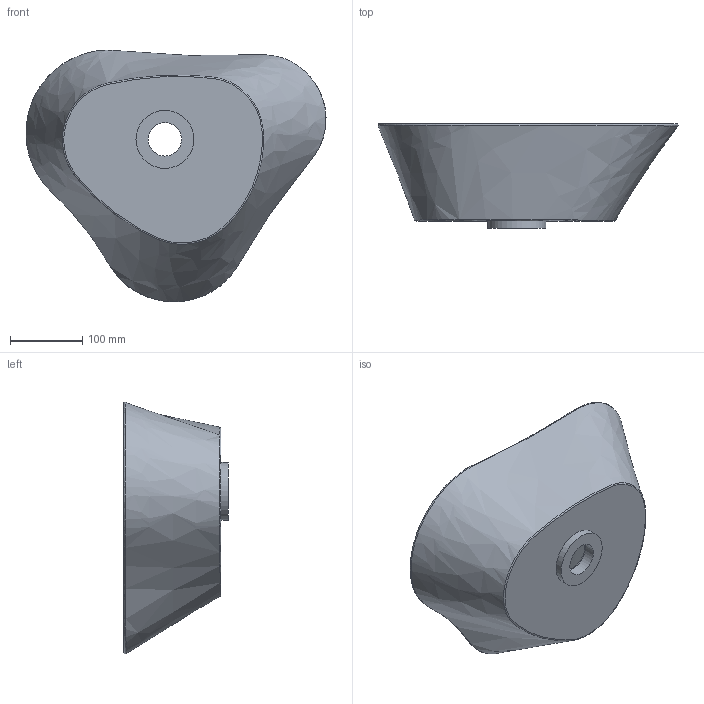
import cadquery as cq
import math


BODY_HEIGHT = 134.0
COLLAR_HEIGHT = 10.0
COLLAR_DIAMETER = 80.0
DRAIN_DIAMETER = 46.0
WALL = 8.0
EDGE_RADIUS = 2.0
SLAB_DIAMETER = 600.0
POINTS_PER_ARC = 6

RIM_LOBES = [(-78.1, 9.3, 114.6), (12.0, -121.6, 104.1), (134.7, 28.3, 89.4)]
FLOOR_LOBES = [(-61.1, -0.6, 79.8), (23.6, -58.1, 86.0), (54.7, 6.0, 80.6)]

RIM_SIDES = [-376.0, -818.0, -1176.0]
FLOOR_SIDES = [305.0, 163.0, 426.0]


def side_center(lobe, next_lobe, side):
    """Centre of the side arc that is tangent to two neighbouring lobes."""
    x, z, radius = lobe
    next_x, next_z, next_radius = next_lobe
    reach = abs(side - radius)
    next_reach = abs(side - next_radius)
    span = math.hypot(next_x - x, next_z - z)
    along = (reach**2 - next_reach**2 + span**2) / (2 * span)
    across = math.copysign(math.sqrt(reach**2 - along**2), side)
    unit_x = (next_x - x) / span
    unit_z = (next_z - z) / span
    return x + unit_x * along - unit_z * across, z + unit_z * along + unit_x * across


def direction_angle(center, lobe, side):
    """Angle of the outward normal where a side arc touches a lobe."""
    outward = math.copysign(1, side)
    return math.atan2(outward * (lobe[1] - center[1]), outward * (lobe[0] - center[0]))


def arc_points(center, radius, start, turn):
    """Evenly spaced (x, z) points of an arc, without its end; a negative radius curves inward."""
    points = []
    for step in range(POINTS_PER_ARC):
        angle = start + turn * step / POINTS_PER_ARC
        points.append((center[0] + radius * math.cos(angle), center[1] + radius * math.sin(angle)))
    return points


def outline(lobes, sides, inset, y):
    """Smooth closed wire along the lobe and side arcs at height y, shrunk inward by inset."""
    lobes = [(x, z, radius - inset) for x, z, radius in lobes]
    sides = [side - inset for side in sides]
    count = len(lobes)
    centers = [side_center(lobes[i], lobes[(i + 1) % count], sides[i]) for i in range(count)]
    points = []
    for i in range(count):
        lobe = lobes[i]
        arrive = direction_angle(centers[i - 1], lobe, sides[i - 1])
        leave = direction_angle(centers[i], lobe, sides[i])
        next_arrive = direction_angle(centers[i], lobes[(i + 1) % count], sides[i])
        lobe_turn = (leave - arrive) % math.tau
        side_turn = math.remainder(next_arrive - leave, math.tau)
        points += arc_points(lobe[:2], lobe[2], arrive, lobe_turn)
        points += arc_points(centers[i], sides[i], leave, side_turn)
    edge = cq.Edge.makeSpline([cq.Vector(x, y, z) for x, z in points], periodic=True)
    return cq.Wire.assembleEdges([edge])


def tapered_body(inset):
    """Solid from the floor outline to the rim outline, shrunk inward by inset."""
    floor = outline(FLOOR_LOBES, FLOOR_SIDES, inset, 0)
    rim = outline(RIM_LOBES, RIM_SIDES, inset, BODY_HEIGHT)
    return cq.Workplane(cq.Solid.makeLoft([floor, rim], True))


def cylinder(diameter, start_y, end_y):
    """Cylinder on the drain axis."""
    direction = cq.Vector(0, 1, 0)
    start = cq.Vector(0, start_y, 0)
    return cq.Workplane(cq.Solid.makeCylinder(diameter / 2, end_y - start_y, start, direction))


def basin_shell():
    """Hollow body with rounded outer edges; the cavity stops at the top of the floor."""
    outside = tapered_body(0).faces("<Y or >Y").edges().fillet(EDGE_RADIUS)
    floor_slab = cylinder(SLAB_DIAMETER, 0, WALL)
    cavity = tapered_body(WALL).cut(floor_slab)
    return outside.cut(cavity)


def drained(basin):
    """Basin with the drain bored through collar and floor, its inner edge rounded."""
    drain = cylinder(DRAIN_DIAMETER, -COLLAR_HEIGHT, WALL)
    bored = basin.cut(drain)
    return bored.edges("%CIRCLE").edges(">Y").fillet(EDGE_RADIUS)


collar = cylinder(COLLAR_DIAMETER, -COLLAR_HEIGHT, WALL)
result = drained(basin_shell().union(collar))